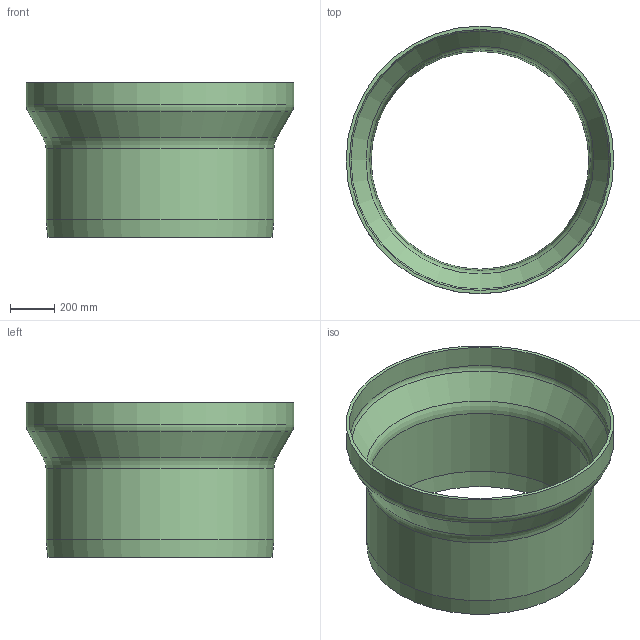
import cadquery as cq
import math

total_height = 700.0
socket_bottom = 600.0
spigot_taper_height = 80.0

wall = 15.0
socket_outer_radius = 605.0
spigot_outer_radius = 515.0
spigot_taper_depth = 8.0

cone_angle = math.radians(30.0)
upper_bend_inner = 50.0
lower_bend_outer = 100.0

upper_bend_outer = upper_bend_inner + wall
lower_bend_inner = lower_bend_outer + wall
upper_centre = (socket_outer_radius - upper_bend_outer, socket_bottom)
lower_centre_r = spigot_outer_radius + lower_bend_outer

bend_sum = upper_bend_outer + lower_bend_outer
radius_drop = socket_outer_radius - spigot_outer_radius
bend_drop = bend_sum * (1 - math.cos(cone_angle))
cone_length = (radius_drop - bend_drop) / math.sin(cone_angle)
spigot_top = socket_bottom - bend_sum * math.sin(cone_angle) - cone_length * math.cos(cone_angle)
lower_centre = (lower_centre_r, spigot_top)


def upper_bend_point(radius, angle):
    """Point on the upper bend, at an angle below horizontal."""
    r, z = upper_centre
    return (r + radius * math.cos(angle), z - radius * math.sin(angle))


def lower_bend_point(radius, angle):
    """Point on the lower bend, at an angle above horizontal."""
    r, z = lower_centre
    return (r - radius * math.cos(angle), z + radius * math.sin(angle))


def solid_of_revolution(socket_radius, spigot_radius, upper_bend, lower_bend):
    """Solid enclosed by one face of the wall, revolved about Z."""
    half_angle = cone_angle / 2
    profile = (
        cq.Workplane("XZ")
        .moveTo(0, 0)
        .lineTo(spigot_radius - spigot_taper_depth, 0)
        .lineTo(spigot_radius, spigot_taper_height)
        .lineTo(spigot_radius, spigot_top)
        .threePointArc(
            lower_bend_point(lower_bend, half_angle),
            lower_bend_point(lower_bend, cone_angle),
        )
        .lineTo(*upper_bend_point(upper_bend, cone_angle))
        .threePointArc(
            upper_bend_point(upper_bend, half_angle),
            upper_bend_point(upper_bend, 0),
        )
        .lineTo(socket_radius, total_height)
        .lineTo(0, total_height)
        .close()
    )
    return profile.revolve(360, (0, 0, 0), (0, 1, 0))


outer_body = solid_of_revolution(
    socket_outer_radius, spigot_outer_radius, upper_bend_outer, lower_bend_outer
)
bore = solid_of_revolution(
    socket_outer_radius - wall, spigot_outer_radius - wall, upper_bend_inner, lower_bend_inner
)
result = outer_body.cut(bore)